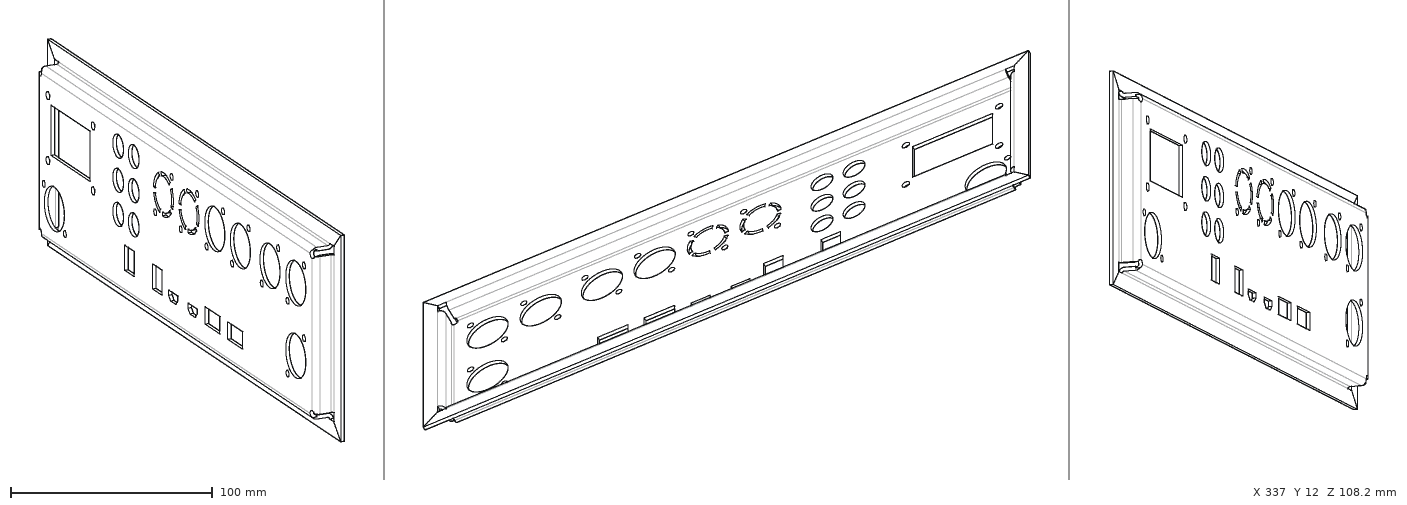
import cadquery as cq
import math

length = 337.0
height = 108.2
depth = 12.0
sheet = 2.0
bend_inner = 1.0
bend_outer = bend_inner + sheet

wall_inset = 9.0
mitre_gap = 0.15
relief_dia = 4.0
wall_end_setback = 0.7
front_bend_inset = wall_inset + bend_outer
wall_end_inset = front_bend_inset + wall_end_setback
cut_depth = 3 * depth

connector_dia = 23.0
connector_screw_dia = 3.5
screw_offset_short = 9.5
screw_offset_long = 12.0
top_row_z = 21.2
slotted_ring_x = [-14.0, 15.0]
upper_connector_x = [44.8, 74.0, 108.2, 137.8]
lower_connector = (137.8, -17.0)
turned_connector = (-139.5, -24.5)

slot_count = 5
slot_inner_radius = 9.5
slot_outer_radius = connector_dia / 2
slot_angle = 56.0
first_slot_angle = 4.0

display_center = (-121.0, 15.5)
window_size = (44.5, 26.3)
display_screw_pitch = (52.0, 34.0)
display_screw_dia = 4.0

button_dia = 12.0
button_center = (-57.3, 12.8)
button_pitch = 18.0
button_columns = 2
button_rows = 3

socket_base_z = -32.0
tall_socket_size = (10.8, 13.0)
tall_socket_x = [-53.2, -21.2]
wide_socket_size = (17.0, 9.0)
wide_socket_x = [42.0, 68.0]
small_socket_size = (10.5, 5.0)
small_socket_chamfer = 2.5
small_socket_x = [-3.0, 19.2]


def on_front():
    """Sketch plane on the front face: local x = X, local y = Z, normal = -Y."""
    return cq.Workplane("XZ")


def panel_cutter(sketch):
    """Tool that passes right through the panel."""
    return sketch.extrude(cut_depth, both=True)


def bent_wall(span, half_width):
    """Wall with its front and rear bends, along X, on the +Z side of the panel."""
    outer = half_width - wall_inset
    inner = outer - sheet
    panel_edge = outer - bend_outer
    flange_edge = outer + bend_inner
    arc_middle = math.sqrt(0.5)
    front_y = bend_outer
    rear_y = depth - bend_outer
    profile = (
        cq.Workplane("YZ")
        .moveTo(0, panel_edge)
        .threePointArc((front_y - bend_outer * arc_middle, panel_edge + bend_outer * arc_middle),
                       (front_y, outer))
        .lineTo(rear_y, outer)
        .threePointArc((rear_y + bend_inner * arc_middle, flange_edge - bend_inner * arc_middle),
                       (depth - sheet, flange_edge))
        .lineTo(depth, flange_edge)
        .threePointArc((rear_y + bend_outer * arc_middle, flange_edge - bend_outer * arc_middle),
                       (rear_y, inner))
        .lineTo(front_y, inner)
        .threePointArc((front_y - bend_inner * arc_middle, panel_edge + bend_inner * arc_middle),
                       (sheet, panel_edge))
        .close()
    )
    return profile.extrude(span / 2, both=True)


def mitred_flange(full_length, half_width):
    """Flat flange strip with 45 degree ends, along X, on the +Z side of the panel."""
    end_setback = mitre_gap * math.sqrt(0.5)
    inner_edge = half_width - wall_inset + bend_inner
    half_outer = full_length / 2 - end_setback
    half_inner = half_outer - (half_width - inner_edge)
    outline = [
        (-half_outer, half_width),
        (half_outer, half_width),
        (half_inner, inner_edge),
        (-half_inner, inner_edge),
    ]
    return on_front().workplane(offset=-depth).polyline(outline).close().extrude(sheet)


def folded_side(full_length, half_width):
    wall = bent_wall(full_length - 2 * wall_end_inset, half_width)
    return wall.union(mitred_flange(full_length, half_width))


def rotated(body, angle):
    return body.rotate((0, 0, 0), (0, 1, 0), angle)


def folded_tray():
    panel_length = length - 2 * front_bend_inset
    panel_height = height - 2 * front_bend_inset
    tray = on_front().rect(panel_length, panel_height).extrude(-sheet)
    long_side = folded_side(length, height / 2)
    short_side = folded_side(height, length / 2)
    for angle in (0, 180):
        tray = tray.union(rotated(long_side, angle))
        tray = tray.union(rotated(short_side, angle + 90))
    relief = (
        on_front()
        .rect(panel_length, panel_height, forConstruction=True)
        .vertices()
        .circle(relief_dia / 2)
    )
    return tray.cut(relief.extrude(-bend_outer))


def screw_pair(center, offset):
    """Two screw holes at opposite corners around a connector."""
    x, z = center
    dx, dz = offset
    points = [(x + dx, z + dz), (x - dx, z - dz)]
    return panel_cutter(on_front().pushPoints(points).circle(connector_screw_dia / 2))


def connector(center, screw_offset):
    opening = panel_cutter(on_front().center(*center).circle(connector_dia / 2))
    return opening.union(screw_pair(center, screw_offset))


def polar(center, radius, angle):
    turn = math.radians(angle)
    return (center[0] + radius * math.cos(turn), center[1] + radius * math.sin(turn))


def arc_slot(center, middle):
    start = middle - slot_angle / 2
    end = middle + slot_angle / 2
    sketch = (
        on_front()
        .moveTo(*polar(center, slot_outer_radius, start))
        .threePointArc(polar(center, slot_outer_radius, middle), polar(center, slot_outer_radius, end))
        .lineTo(*polar(center, slot_inner_radius, end))
        .threePointArc(polar(center, slot_inner_radius, middle), polar(center, slot_inner_radius, start))
        .close()
    )
    return panel_cutter(sketch)


def slotted_ring(center):
    cutter = screw_pair(center, (screw_offset_short, screw_offset_long))
    for index in range(slot_count):
        cutter = cutter.union(arc_slot(center, first_slot_angle + index * 360 / slot_count))
    return cutter


def display_cutter():
    window = panel_cutter(on_front().center(*display_center).rect(*window_size))
    screws = (
        on_front()
        .center(*display_center)
        .rect(*display_screw_pitch, forConstruction=True)
        .vertices()
        .circle(display_screw_dia / 2)
    )
    return window.union(panel_cutter(screws))


def button_cutter():
    holes = (
        on_front()
        .center(*button_center)
        .rarray(button_pitch, button_pitch, button_columns, button_rows)
        .circle(button_dia / 2)
    )
    return panel_cutter(holes)


def socket_cutter(size, positions):
    middle_z = socket_base_z + size[1] / 2
    points = [(x, middle_z) for x in positions]
    return panel_cutter(on_front().pushPoints(points).rect(*size))


def small_socket_cutter():
    lower_corners = cq.selectors.BoxSelector(
        (-length, -2 * cut_depth, socket_base_z - small_socket_chamfer),
        (length, 2 * cut_depth, socket_base_z + small_socket_chamfer),
    )
    sockets = socket_cutter(small_socket_size, small_socket_x)
    return sockets.edges("|Y").edges(lower_corners).chamfer(small_socket_chamfer)


upright = (screw_offset_short, screw_offset_long)
turned = (-screw_offset_long, screw_offset_short)

result = folded_tray()
for x in upper_connector_x:
    result = result.cut(connector((x, top_row_z), upright))
result = result.cut(connector(lower_connector, upright))
result = result.cut(connector(turned_connector, turned))
for x in slotted_ring_x:
    result = result.cut(slotted_ring((x, top_row_z)))
result = result.cut(display_cutter())
result = result.cut(button_cutter())
result = result.cut(socket_cutter(tall_socket_size, tall_socket_x))
result = result.cut(socket_cutter(wide_socket_size, wide_socket_x))
result = result.cut(small_socket_cutter())